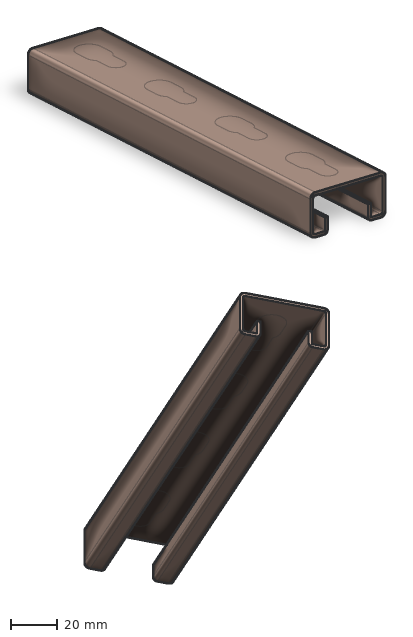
import cadquery as cq
import math

length = 200.0
width = 41.0
height = 21.2
wall = 1.55

corner_radius = 2.5
lip_radius = 2.0
mouth_width = 22.0
lip_height = 8.0

keyhole_count = 4
keyhole_pitch = length / keyhole_count
keyhole_length = 30.0
wide_width = 13.0
narrow_width = 9.0
wide_straight = 6.5

web_bottom = height - wall


def rounded_bar(size_y, size_z, radius):
    """Full-length bar standing on Z = 0 with its four long edges rounded."""
    return (
        cq.Workplane("XY")
        .box(length, size_y, size_z, centered=(True, True, False))
        .edges("|X")
        .fillet(radius)
    )


def make_channel():
    """Closed tube opened along the bottom, with a lip turned up on each side."""
    tube = rounded_bar(width, height, corner_radius)
    bore = rounded_bar(width - 2 * wall, height - 2 * wall, corner_radius - wall)
    tube = tube.cut(bore.translate((0, 0, wall)))

    bend_start = mouth_width / 2 + lip_radius
    mouth = cq.Workplane("XY").box(length, 2 * bend_start, web_bottom, centered=(True, True, False))
    return tube.cut(mouth).union(make_lip()).union(make_lip().mirror("XZ"))


def make_lip():
    """Bend and upright of the lip on the +Y side."""
    inner_y = mouth_width / 2
    bend_y = inner_y + lip_radius
    inner_radius = lip_radius - wall
    diagonal = math.sqrt(0.5)
    return (
        cq.Workplane("YZ", origin=(-length / 2, 0, 0))
        .moveTo(bend_y, 0)
        .threePointArc(
            (bend_y - lip_radius * diagonal, lip_radius * (1 - diagonal)),
            (inner_y, lip_radius),
        )
        .lineTo(inner_y, lip_height)
        .lineTo(inner_y + wall, lip_height)
        .lineTo(inner_y + wall, lip_radius)
        .threePointArc(
            (bend_y - inner_radius * diagonal, lip_radius - inner_radius * diagonal),
            (bend_y, wall),
        )
        .close()
        .extrude(length)
    )


def make_keyhole_plug(center_x):
    """Keyhole-shaped plug filling the web thickness, wide end toward -X."""
    wide_radius = wide_width / 2
    wide_length = wide_width + wide_straight
    start_x = center_x - keyhole_length / 2
    narrow_start = start_x + wide_radius
    narrow_length = start_x + keyhole_length - narrow_start
    web = cq.Workplane("XY", origin=(0, 0, web_bottom))
    wide = web.center(start_x + wide_length / 2, 0).slot2D(wide_length, wide_width).extrude(wall)
    narrow = web.center(narrow_start + narrow_length / 2, 0).slot2D(narrow_length, narrow_width).extrude(wall)
    return wide.union(narrow).clean()


result = make_channel()

for index in range(keyhole_count):
    keyhole_x = (index - (keyhole_count - 1) / 2) * keyhole_pitch
    plug = make_keyhole_plug(keyhole_x)
    result = result.cut(plug, clean=False).union(plug, clean=False)